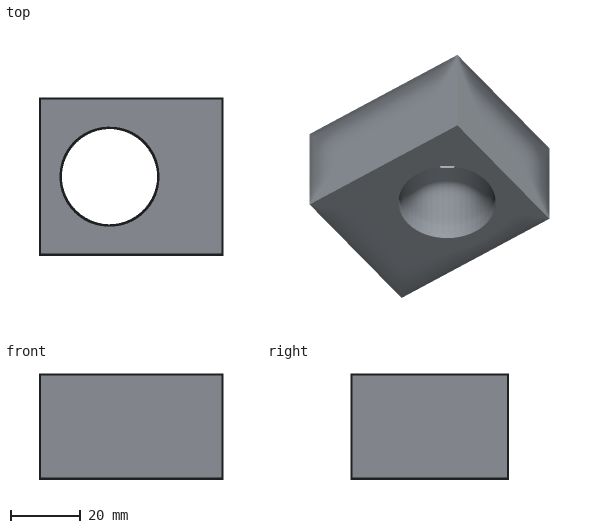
import cadquery as cq

length = 52.5
width = 45.0
height = 30.0

bore_diameter = 28.0
bore_to_left_face = 20.0


def make_block():
    """Plain rectangular block, centred in X and Y, standing on Z = 0."""
    return cq.Workplane("XY").box(length, width, height, centered=(True, True, False))


def make_bore():
    """Cylinder that cuts the bore through the full height."""
    bore_x = bore_to_left_face - length / 2
    return cq.Workplane("XY").center(bore_x, 0).circle(bore_diameter / 2).extrude(height)


result = make_block().cut(make_bore())